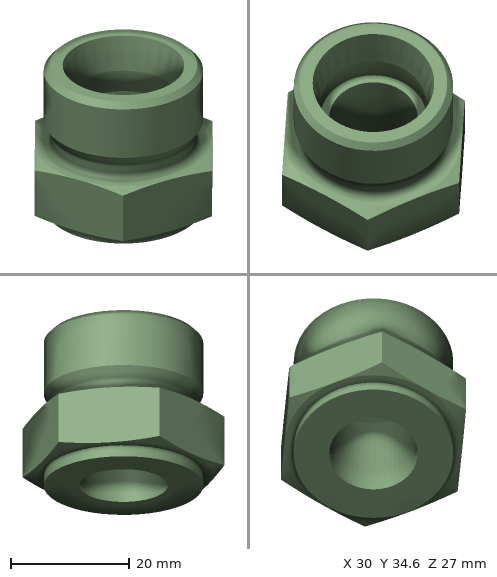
import cadquery as cq
import math

total_height = 27.0
collar_height = 2.0
hex_height = 10.0
hex_top = collar_height + hex_height
neck_shoulder = 14.62

hex_across_flats = 30.0
hex_across_corners = hex_across_flats / math.cos(math.radians(30))
thread_radius = 27.0 / 2
neck_radius = 24.7 / 2
neck_fillet = 1.0
undercut_angle = math.radians(30)
thread_chamfer = 1.0
hex_chamfer_angle = math.radians(15)
washer_face_radius = hex_across_flats / 2

through_radius = 15.0 / 2
socket_radius = 18 / 2
mouth_radius = 20.58 / 2
cone_angle = math.radians(12)
socket_depth = 10.0


def make_turned_body():
    """Collar, core, relief neck and thread cylinder as one revolved solid."""
    thread_start = neck_shoulder + (thread_radius - neck_radius) / math.tan(undercut_angle)
    tangent_length = neck_fillet * math.tan(undercut_angle / 2)
    blend_end = (
        neck_radius + tangent_length * math.sin(undercut_angle),
        neck_shoulder + tangent_length * math.cos(undercut_angle),
    )
    blend_mid = (
        neck_radius + neck_fillet * (1 - math.cos(undercut_angle / 2)),
        neck_shoulder - tangent_length + neck_fillet * math.sin(undercut_angle / 2),
    )
    fillet_mid = neck_fillet * (1 - math.sqrt(0.5))
    return (
        cq.Workplane("XZ")
        .lineTo(thread_radius, 0)
        .lineTo(thread_radius, hex_top)
        .lineTo(neck_radius + neck_fillet, hex_top)
        .threePointArc(
            (neck_radius + fillet_mid, hex_top + fillet_mid),
            (neck_radius, hex_top + neck_fillet),
        )
        .lineTo(neck_radius, neck_shoulder - tangent_length)
        .threePointArc(blend_mid, blend_end)
        .lineTo(thread_radius, thread_start)
        .lineTo(thread_radius, total_height - thread_chamfer)
        .lineTo(thread_radius - thread_chamfer, total_height)
        .lineTo(0, total_height)
        .close()
        .revolve(360, (0, 0), (0, 1))
    )


def make_hexagon():
    """Hexagon with corners on Y, its end corners trimmed by cones."""
    corner_radius = hex_across_corners / 2
    corner_drop = (corner_radius - washer_face_radius) * math.tan(hex_chamfer_angle)
    prism = (
        cq.Workplane("XY")
        .workplane(offset=collar_height)
        .polygon(6, hex_across_corners)
        .extrude(hex_height)
        .rotate((0, 0, 0), (0, 0, 1), 90)
    )
    trim = (
        cq.Workplane("XZ")
        .moveTo(0, collar_height)
        .lineTo(washer_face_radius, collar_height)
        .lineTo(corner_radius, collar_height + corner_drop)
        .lineTo(corner_radius, hex_top - corner_drop)
        .lineTo(washer_face_radius, hex_top)
        .lineTo(0, hex_top)
        .close()
        .revolve(360, (0, 0), (0, 1))
    )
    return prism.intersect(trim)


def make_bore():
    """Through hole, tube socket and conical mouth."""
    cone_depth = (mouth_radius - socket_radius) / math.tan(cone_angle)
    socket_floor = total_height - socket_depth
    return (
        cq.Workplane("XZ")
        .lineTo(through_radius, 0)
        .lineTo(through_radius, socket_floor)
        .lineTo(socket_radius, socket_floor)
        .lineTo(socket_radius, total_height - cone_depth)
        .lineTo(mouth_radius, total_height)
        .lineTo(0, total_height)
        .close()
        .revolve(360, (0, 0), (0, 1))
    )


result = make_turned_body().union(make_hexagon()).cut(make_bore())